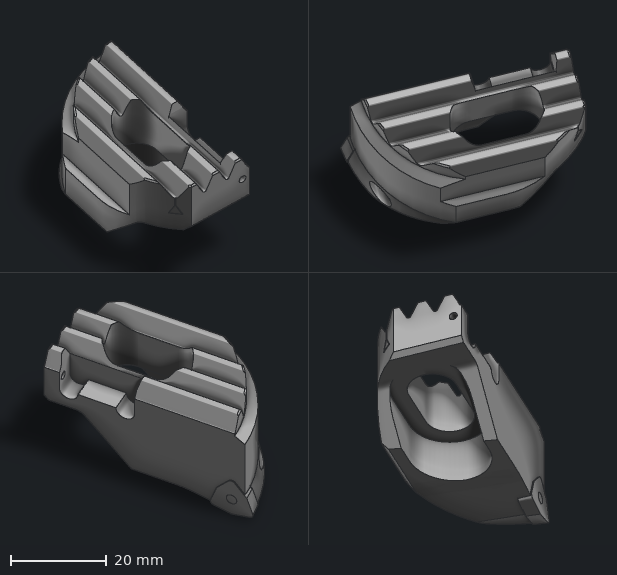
import cadquery as cq
import math


right_x = 19.35
back_y = -0.3
front_y = -25.2
past_part = 39.2
margin = 0.5
neck_radius = 25.25
body_radius = 27.65
neck_bottom_z = -4.4
body_top_z = -5.9
body_bottom_z = -20.9
flare_angle = 18.0
crest_chamfer_width = 0.4
crest_chamfer_height = 0.3
right_arc_x = -0.4
right_arc_radius = -front_y

flat_y = -23.6
flat_bottom_z = -12.25
flat_run_out_angle = 30.0
step_x = 10.7
step_z = -13.0
step_radius = 3.0
end_chamfer = 1.15
nose_z = -26.8
lead_slope = 0.185
floor_z = -24.75
floor_blend_radius = 23.05
relief_angle = 6.0
skirt_fillet = 0.5

serration_pitch = 6.002
first_valley_y = -0.2
valley_count = 5
valley_depth = 3.75
valley_radius = 0.5
crest_radius = 0.4
flank_angle = 27.0

slot_y = first_valley_y - 2 * serration_pitch
slot_x = 1.05
slot_spacing = 9.55
slot_radius = 5.3
recess_radius = 8.9

key_x = 6.95
key_half_width = 8.75
key_front_y = -5.25
key_floor_z = -8.35
key_flare = 0.5
key_flare_depth = 2.2
key_groove_radius = 2.15
lug_hole_radius = 0.9
lug_hole_y = -2.15
lug_hole_z = -6.2

mark_x = 17.0
mark_apex_z = -6.05
mark_base_z = -8.45
mark_base = 2.15
mark_line_width = 0.15
mark_depth = 0.1

insert_x = -24.65
insert_z = -23.28
insert_thickness = 3.35
insert_relief = 7.0
insert_blunt_radius = 4.1
insert_sharp_radius = 6.12
insert_nose = 1.05
screw_z = -23.1
screw_radius = 1.22
screw_tip_chamfer = 0.3
screw_length = 7.85
access_radius = 1.55


def xz_prism(profile, y_from, y_to):
    """Extrude a closed XZ profile between two Y positions."""
    return profile.extrude(y_from - y_to).translate((0, y_from, 0))


def make_turned_blank():
    """Solid of revolution: chamfered neck, shoulder, body and flared skirt."""
    skirt_z = nose_z - margin
    skirt_radius = body_radius + (body_bottom_z - skirt_z) * math.tan(math.radians(flare_angle))
    half = [
        (0, 0),
        (neck_radius - crest_chamfer_width, 0),
        (neck_radius, -crest_chamfer_height),
        (neck_radius, neck_bottom_z),
        (body_radius, body_top_z),
        (body_radius, body_bottom_z),
        (skirt_radius, skirt_z),
        (0, skirt_z),
    ]
    return cq.Workplane("XZ").polyline(half).close().revolve(360, (0, 0, 0), (0, 1, 0))


def make_outline():
    """Plan outline: straight front and back, arc and straight face at the right."""
    corner_y = -math.sqrt(right_arc_radius**2 - (right_x - right_arc_x) ** 2)
    mid = right_arc_radius * math.sqrt(0.5)
    outline = (
        cq.Workplane("XY")
        .moveTo(-past_part, back_y)
        .lineTo(-past_part, front_y)
        .lineTo(right_arc_x, front_y)
        .threePointArc((right_arc_x + mid, -mid), (right_x, corner_y))
        .lineTo(right_x, back_y)
        .close()
        .extrude(-past_part)
    )
    rim = outline.faces(">Z").edges(">X or (not %LINE)")
    return rim.chamfer(crest_chamfer_height, crest_chamfer_width)


def make_underside_cut():
    """Everything below the relieved underside, swept from the back to the front."""
    blend_x = insert_x + (floor_z - nose_z) / lead_slope
    lead_angle = math.atan(lead_slope)
    reach = floor_blend_radius * math.tan(lead_angle / 2)
    blend_start = (blend_x - reach * math.cos(lead_angle), floor_z - reach * math.sin(lead_angle))
    blend_end = (blend_x + reach, floor_z)
    blend_mid = (
        blend_end[0] - floor_blend_radius * math.sin(lead_angle / 2),
        floor_z - floor_blend_radius * (1 - math.cos(lead_angle / 2)),
    )
    profile = (
        cq.Workplane("XZ")
        .moveTo(-past_part, nose_z + (insert_x + past_part) * lead_slope)
        .lineTo(insert_x, nose_z)
        .lineTo(*blend_start)
        .threePointArc(blend_mid, blend_end)
        .lineTo(past_part, floor_z)
        .lineTo(past_part, -past_part)
        .lineTo(-past_part, -past_part)
        .close()
    )
    rise = math.tan(math.radians(relief_angle))
    wire = profile.wires().val().translate(cq.Vector(0, back_y + margin, -margin * rise))
    sweep = cq.Vector(0, -past_part, past_part * rise)
    return cq.Workplane(cq.Solid.extrudeLinear(wire, [], sweep))


def round_skirt_edge(blank):
    """Round the skirt edge from the insert nose towards the front."""
    low_corner = (insert_x + margin, front_y, nose_z)
    high_corner = (slot_x - slot_spacing, slot_y, body_bottom_z)
    behind_nose = cq.selectors.BoxSelector(low_corner, high_corner)
    return blank.edges("%ELLIPSE").edges(behind_nose).fillet(skirt_fillet)


def make_end_cut():
    """Space under the 45 degree slope and the raised right end."""
    half_turn = math.radians(45) / 2
    setback = step_radius * math.tan(half_turn)
    diagonal = setback * math.sqrt(0.5)
    fall = past_part + step_z
    arc_mid = (
        step_x + setback - step_radius * math.sin(half_turn),
        step_z - step_radius * (1 - math.cos(half_turn)),
    )
    profile = (
        cq.Workplane("XZ")
        .moveTo(step_x - fall, -past_part)
        .lineTo(step_x - diagonal, step_z - diagonal)
        .threePointArc(arc_mid, (step_x + setback, step_z))
        .lineTo(right_x - end_chamfer, step_z)
        .lineTo(right_x + margin, step_z + end_chamfer + margin)
        .lineTo(right_x + margin, -past_part)
        .close()
    )
    return xz_prism(profile, margin, -past_part)


def make_front_cuts():
    """Upper flat with its sloped run-out, and the 45 degree chamfer below the front face."""
    depth = flat_y - front_y
    run_out = depth * math.tan(math.radians(flat_run_out_angle))
    upper = [
        (flat_y, margin),
        (flat_y, flat_bottom_z),
        (front_y, flat_bottom_z - run_out),
        (front_y - margin, flat_bottom_z - run_out),
        (front_y - margin, margin),
    ]
    drop = past_part + body_bottom_z
    lower = [
        (front_y - margin, body_bottom_z + margin),
        (front_y + drop, -past_part),
        (front_y - margin, -past_part),
    ]
    upper_cut = cq.Workplane("YZ").polyline(upper).close().extrude(past_part, both=True)
    lower_cut = cq.Workplane("YZ").polyline(lower).close().extrude(past_part, both=True)
    return upper_cut.union(lower_cut)


def make_valley():
    """One serration valley along X: rounded root, straight flanks, rounded crest edges."""
    lean = math.radians(flank_angle)
    root_y = valley_radius * math.cos(lean)
    root_z = valley_radius * (1 - math.sin(lean)) - valley_depth
    flank_top_z = crest_radius * (math.sin(lean) - 1)
    flank_top_y = root_y + (flank_top_z - root_z) * math.tan(lean)
    crest_y = flank_top_y + crest_radius * math.cos(lean)
    half_lean = (lean + math.pi / 2) / 2
    crest_mid_y = crest_y - crest_radius * math.cos(half_lean)
    crest_mid_z = crest_radius * (math.sin(half_lean) - 1)
    return (
        cq.Workplane("YZ")
        .moveTo(-crest_y, 0)
        .threePointArc((-crest_mid_y, crest_mid_z), (-flank_top_y, flank_top_z))
        .lineTo(-root_y, root_z)
        .threePointArc((0, -valley_depth), (root_y, root_z))
        .lineTo(flank_top_y, flank_top_z)
        .threePointArc((crest_mid_y, crest_mid_z), (crest_y, 0))
        .lineTo(crest_y, margin)
        .lineTo(-crest_y, margin)
        .close()
        .extrude(past_part, both=True)
    )


def make_slot():
    """Through slot with a wider recess rising from below to the raised underside."""

    def obround(radius, z_from, z_to):
        plane = cq.Workplane("XY", origin=(slot_x, slot_y, z_from))
        return plane.slot2D(slot_spacing + 2 * radius, 2 * radius).extrude(z_to - z_from)

    return obround(slot_radius, -past_part, margin).union(obround(recess_radius, -past_part, step_z))


def make_keyway():
    """Flared keyway across the back, with a round relief groove along each foot."""
    half = [
        (-key_half_width - key_flare, 0),
        (-key_half_width, -key_flare_depth),
        (-key_half_width, key_floor_z),
    ]
    mirrored = [(-x, z) for x, z in reversed(half)]
    profile = cq.Workplane("XZ").polyline(half + mirrored).close()
    keyway = xz_prism(profile, margin, key_front_y)
    groove_offset = key_half_width - key_groove_radius
    for side in (-1, 1):
        circle = cq.Workplane("XZ").center(side * groove_offset, key_floor_z).circle(key_groove_radius)
        keyway = keyway.union(xz_prism(circle, margin, key_front_y))
    return keyway.translate((key_x, 0, 0))


def make_lug_hole():
    """Hole along X through the lug to the right of the keyway."""
    start_x = key_x + key_half_width - key_groove_radius
    plane = cq.Workplane("YZ", origin=(start_x, lug_hole_y, lug_hole_z))
    return plane.circle(lug_hole_radius).extrude(past_part)


def make_mark():
    """Shallow arrow engraved in the right-hand arc below a serration valley."""
    arrow = [
        (-mark_line_width / 2, 0),
        (-mark_line_width / 2, mark_apex_z),
        (-mark_base / 2, mark_base_z),
        (mark_base / 2, mark_base_z),
        (mark_line_width / 2, mark_apex_z),
        (mark_line_width / 2, 0),
    ]
    profile = cq.Workplane("XZ").polyline(arrow).close()
    prism = xz_prism(profile, slot_y, front_y).translate((mark_x, 0, 0))
    core = cq.Workplane("XY").center(right_arc_x, 0).circle(right_arc_radius - mark_depth)
    return prism.cut(core.extrude(-past_part))


def make_insert_blank():
    """Trigon insert with rounded corners, tapering away from its cutting face."""
    points = []
    for corner in range(3):
        blunt = math.radians(120 * corner - 90)
        sharp = math.radians(120 * corner - 30)
        points.append((insert_blunt_radius * math.cos(blunt), insert_blunt_radius * math.sin(blunt)))
        points.append((insert_sharp_radius * math.cos(sharp), insert_sharp_radius * math.sin(sharp)))
    outline = cq.Workplane("XZ").polyline(points).close().wires().val()
    corners = [v for v in outline.Vertices() if math.hypot(v.X, v.Z) > insert_blunt_radius + margin]
    rounded = cq.Face.makeFromWires(outline).fillet2D(insert_nose, corners).outerWire()
    blank = cq.Workplane("XZ").add(rounded).toPending().extrude(insert_thickness, taper=insert_relief)
    return blank.translate((insert_x, 0, insert_z))


def screw_axis_cylinder(radius, y_from, y_to):
    """Cylinder about the screw axis between two Y positions."""
    return xz_prism(cq.Workplane("XZ").center(insert_x, screw_z).circle(radius), y_from, y_to)


def make_housing(insert_blank, screw_hole):
    """Serrated cartridge body with the insert seat and the screw hole."""
    underside_cut = make_underside_cut()
    filler = cq.Workplane("XY").box(past_part, 2 * past_part, past_part, centered=(False, True, False))
    filler = filler.translate((0, 0, -past_part)).cut(underside_cut)
    turned = round_skirt_edge(make_turned_blank().cut(underside_cut))
    housing = turned.union(filler).intersect(make_outline())
    housing = housing.cut(make_front_cuts()).cut(make_end_cut())
    valley = make_valley()
    for index in range(valley_count):
        housing = housing.cut(valley.translate((0, first_valley_y - index * serration_pitch, 0)))
    housing = housing.cut(make_slot()).cut(make_keyway()).cut(make_lug_hole()).cut(make_mark())
    access = screw_axis_cylinder(access_radius, -screw_length, -past_part)
    return housing.cut(insert_blank).cut(screw_hole).cut(access)


def make_screw():
    """Insert screw, flush with the cutting face, with a chamfered tip."""
    return screw_axis_cylinder(screw_radius, 0, -screw_length).faces("<Y").chamfer(screw_tip_chamfer)


insert_blank = make_insert_blank()
screw_hole = screw_axis_cylinder(screw_radius, 0, -screw_length)
housing = make_housing(insert_blank, screw_hole)
insert = insert_blank.cut(screw_hole)
screw = make_screw()

result = cq.Compound.makeCompound([housing.val(), insert.val(), screw.val()])